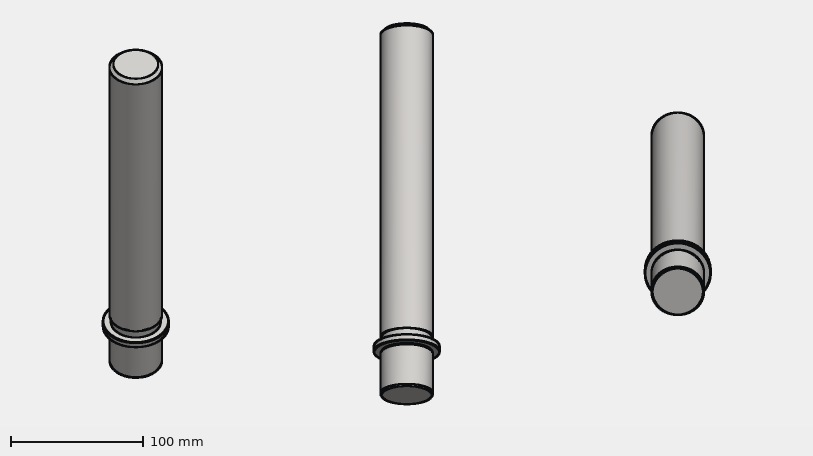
import cadquery as cq

pin_length = 295.0
pin_radius = 20.0
tip_chamfer = 3.0

collar_radius = 25.0
collar_bottom = 35.0
collar_thickness = 5.0
collar_chamfer = 0.5
collar_top = collar_bottom + collar_thickness

neck_radius = 19.0
neck_top = 47.0

lead_height = 1.5
lead_depth = 1.0


def make_cylinder(radius, bottom, top):
    """Round bar along Z between two heights."""
    base = cq.Workplane("XY").workplane(offset=bottom)
    return base.circle(radius).extrude(top - bottom)


def make_spigot():
    """Lower spigot below the collar, with a lead at each end."""
    spigot = make_cylinder(pin_radius, 0, collar_bottom)
    for end_face in ("<Z", ">Z"):
        spigot = spigot.faces(end_face).chamfer(lead_height, lead_depth)
    return spigot


def make_collar():
    """Round flange."""
    disc = make_cylinder(collar_radius, collar_bottom, collar_top)
    return disc.edges().chamfer(collar_chamfer)


def make_shaft():
    """Long shaft with a chamfered tip."""
    shaft = make_cylinder(pin_radius, neck_top, pin_length)
    return shaft.faces(">Z").chamfer(tip_chamfer)


neck = make_cylinder(neck_radius, collar_top, neck_top)
result = make_spigot().union(make_collar()).union(neck).union(make_shaft())